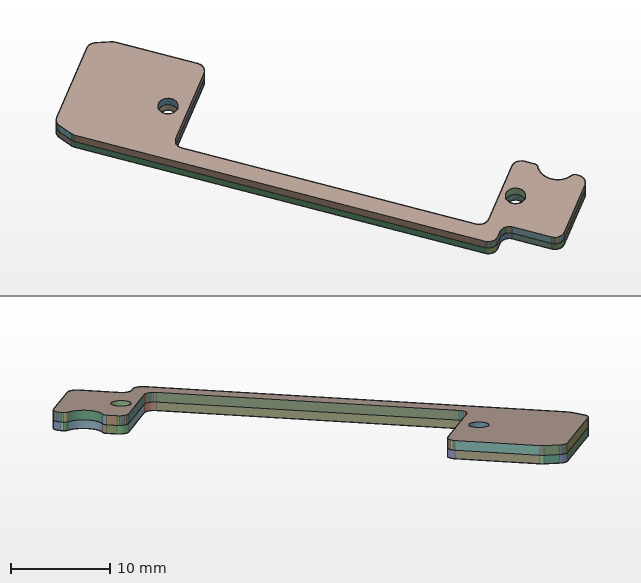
import cadquery as cq
import math

LENGTH = 53.25
WIDTH = 12.85
THICKNESS = 1.9

LOWER_THICKNESS = 0.9
UPPER_THICKNESS = THICKNESS - LOWER_THICKNESS

PAD_RIGHT = 12.25
BEVEL_LENGTH = 2.3
BEVEL_WIDTH = 0.95

STRAP_WIDTH = 1.85
STRAP_RIGHT = 47.05

TAB_LEFT = 45.45
TAB_BOTTOM = 2.65
TAB_TOP = 11.2

NOTCH_X = 49.8
NOTCH_RADIUS = 2.0
NOTCH_DEPTH = 1.35
NOTCH_SHOULDER_RADIUS = 0.5

CORNER_RADIUS = 1.0
MAX_FLAT_ANGLE = math.radians(15)

HOLE_DIAMETER = 2.0
HOLE_Y = 6.6
PAD_HOLE_X = 10.15
TAB_HOLE_X = 47.05

SHARP_CORNERS = [
    (0, BEVEL_WIDTH),
    (BEVEL_LENGTH, 0),
    (STRAP_RIGHT, 0),
    (STRAP_RIGHT, TAB_BOTTOM),
    (LENGTH, TAB_BOTTOM),
    (LENGTH, TAB_TOP),
    (TAB_LEFT, TAB_TOP),
    (TAB_LEFT, STRAP_WIDTH),
    (PAD_RIGHT, STRAP_WIDTH),
    (PAD_RIGHT, WIDTH),
    (BEVEL_LENGTH, WIDTH),
    (0, WIDTH - BEVEL_WIDTH),
]


def corner_flats(before, corner, after):
    """Points that round one corner with equal chords of the corner arc."""
    heading_in = math.atan2(corner[1] - before[1], corner[0] - before[0])
    heading_out = math.atan2(after[1] - corner[1], after[0] - corner[0])
    turn = math.remainder(heading_out - heading_in, math.tau)
    side = math.copysign(1, turn)

    tangent = CORNER_RADIUS * math.tan(abs(turn) / 2)
    start_x = corner[0] - tangent * math.cos(heading_in)
    start_y = corner[1] - tangent * math.sin(heading_in)
    center_x = start_x - side * CORNER_RADIUS * math.sin(heading_in)
    center_y = start_y + side * CORNER_RADIUS * math.cos(heading_in)

    flats = math.ceil(abs(turn) / MAX_FLAT_ANGLE)
    points = []
    for i in range(flats + 1):
        heading = heading_in + turn * i / flats
        x = center_x + side * CORNER_RADIUS * math.sin(heading)
        y = center_y - side * CORNER_RADIUS * math.cos(heading)
        points.append((x, y))
    return points


def faceted_outline():
    """Outline with every sharp corner replaced by its short flats."""
    points = []
    for i, corner in enumerate(SHARP_CORNERS):
        before = SHARP_CORNERS[i - 1]
        after = SHARP_CORNERS[(i + 1) % len(SHARP_CORNERS)]
        points.extend(corner_flats(before, corner, after))
    return points


def cut_notch(blank):
    """Cut the tab notch and round its two shoulders."""
    center_y = TAB_TOP - NOTCH_DEPTH + NOTCH_RADIUS
    cutter = cq.Workplane("XY").center(NOTCH_X, center_y).circle(NOTCH_RADIUS).extrude(THICKNESS)
    body = blank.cut(cutter)

    half_mouth = math.sqrt(NOTCH_RADIUS**2 - (NOTCH_RADIUS - NOTCH_DEPTH) ** 2)
    for shoulder_x in (NOTCH_X - half_mouth, NOTCH_X + half_mouth):
        shoulder = cq.selectors.NearestToPointSelector((shoulder_x, TAB_TOP, THICKNESS / 2))
        body = body.edges("|Z").edges(shoulder).fillet(NOTCH_SHOULDER_RADIUS)
    return body


def cut_holes(blank):
    """Cut the two round through holes."""
    centers = [(PAD_HOLE_X, HOLE_Y), (TAB_HOLE_X, HOLE_Y)]
    cutters = cq.Workplane("XY").pushPoints(centers).circle(HOLE_DIAMETER / 2).extrude(THICKNESS)
    return blank.cut(cutters)


def make_lower_plate():
    """Lower plate, its upright corners rounded with true arcs."""
    blank = cq.Workplane("XY").polyline(SHARP_CORNERS).close().extrude(LOWER_THICKNESS)
    rounded = blank.edges("|Z").fillet(CORNER_RADIUS)
    return cut_holes(cut_notch(rounded))


def make_upper_plate():
    """Upper plate, its upright corners rounded with short flats."""
    base = cq.Workplane("XY").workplane(offset=LOWER_THICKNESS)
    blank = base.polyline(faceted_outline()).close().extrude(UPPER_THICKNESS)
    return cut_holes(cut_notch(blank))


lower_plate = make_lower_plate()
upper_plate = make_upper_plate()

result = cq.Compound.makeCompound([lower_plate.val(), upper_plate.val()])